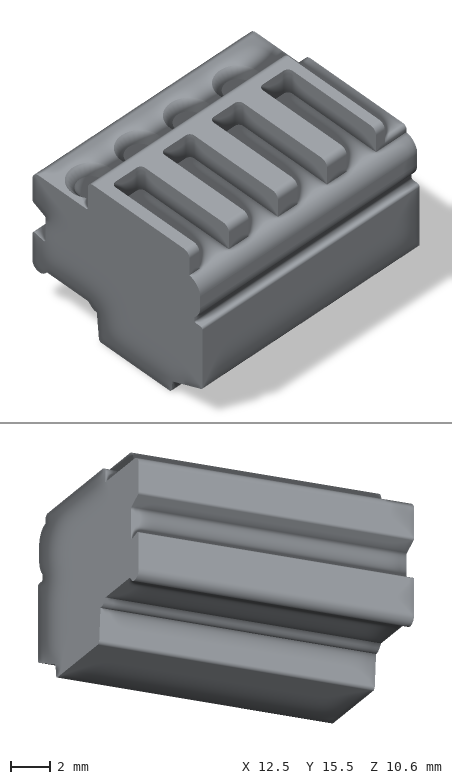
import cadquery as cq

LENGTH = 15.5
WIDTH = 12.5
HEIGHT = 10.6

SHELF_Z = 8.62
BLOCK_LEFT = 4.08
BLOCK_RIGHT = 11.53
SHELF_RADIUS = 0.5
BLOCK_RADIUS = 0.4
STEP_RADIUS = 0.12

BULGE_X = 12.32
BULGE_TOP_Z = 9.0
BULGE_UPPER_RADIUS = 0.96
BULGE_FLAT_TOP_Z = 8.06
BULGE_FLAT_BOTTOM_Z = 7.25
BULGE_LOWER_RADIUS = 1.2
BULGE_BOTTOM_Z = 6.35
NECK_X = 11.92
LEDGE_Z = 5.98
LEDGE_RADIUS = 0.15
NECK_RADIUS = 0.1

SLOPE_TOP_Z = 1.69
SLOPE_BOTTOM = (10.29, 0.78)
BASE_RIGHT = 10.21
BASE_LEFT = 4.9
BASE_RADIUS = 0.19

CHANNEL_Z = 2.26
LIP_Z = 1.9
LIP_RADIUS = 0.5
CHANNEL_LEFT = 1.08
CHANNEL_RIGHT = 4.1
LIP_LEFT_END = 0.73
LIP_RIGHT_START = 4.46
LIP_RIGHT_END = 4.73

NOTCH_DEPTH = 0.98
NOTCH_TOP_OUTER_Z = 6.53
NOTCH_TOP_INNER_Z = 6.05
NOTCH_BOTTOM_INNER_Z = 4.26
NOTCH_BOTTOM_OUTER_Z = 4.48
NOTCH_RADIUS = 0.15

REAR_LENGTH = 1.55
REAR_Z = 9.47
REAR_RIGHT_RADIUS = 0.25

TERMINAL_COUNT = 4
TERMINAL_PITCH = 3.5
OPENING_X = 2.59
OPENING_FIRST_Y = 1.67
OPENING_RADIUS = 1.35
OPENING_FLOOR_RADIUS = 0.85
OPENING_DEPTH = OPENING_RADIUS - OPENING_FLOOR_RADIUS
POCKET_FIRST_Y = 1.77
POCKET_WIDTH = 2.11
POCKET_LEFT = 5.07
POCKET_RADIUS = 0.31


def round_edge(body, x, z, radius):
    """Fillet the Y-direction edge that passes through (x, z)."""
    tolerance = 0.02
    box = cq.selectors.BoxSelector(
        (x - tolerance, 0, z - tolerance),
        (x + tolerance, LENGTH, z + tolerance),
    )
    return body.edges("|Y").edges(box).fillet(radius)


def make_body():
    body = (
        cq.Workplane("XZ")
        .moveTo(0, SHELF_Z)
        .lineTo(BLOCK_LEFT, SHELF_Z)
        .lineTo(BLOCK_LEFT, HEIGHT)
        .lineTo(BLOCK_RIGHT, HEIGHT)
        .lineTo(BLOCK_RIGHT, BULGE_TOP_Z)
        .radiusArc((BULGE_X, BULGE_FLAT_TOP_Z), BULGE_UPPER_RADIUS)
        .lineTo(BULGE_X, BULGE_FLAT_BOTTOM_Z)
        .radiusArc((NECK_X, BULGE_BOTTOM_Z), BULGE_LOWER_RADIUS)
        .lineTo(NECK_X, LEDGE_Z)
        .lineTo(WIDTH, LEDGE_Z)
        .lineTo(WIDTH, SLOPE_TOP_Z)
        .lineTo(*SLOPE_BOTTOM)
        .lineTo(BASE_RIGHT, 0)
        .lineTo(BASE_LEFT, 0)
        .lineTo(LIP_RIGHT_END, LIP_Z)
        .lineTo(LIP_RIGHT_START, LIP_Z)
        .lineTo(CHANNEL_RIGHT, CHANNEL_Z)
        .lineTo(CHANNEL_LEFT, CHANNEL_Z)
        .lineTo(LIP_LEFT_END, LIP_Z)
        .lineTo(0, LIP_Z)
        .lineTo(0, NOTCH_BOTTOM_OUTER_Z)
        .lineTo(NOTCH_DEPTH, NOTCH_BOTTOM_INNER_Z)
        .lineTo(NOTCH_DEPTH, NOTCH_TOP_INNER_Z)
        .lineTo(0, NOTCH_TOP_OUTER_Z)
        .close()
        .extrude(-LENGTH)
    )
    rounded_edges = [
        (0, SHELF_Z, SHELF_RADIUS),
        (NECK_X, LEDGE_Z, NECK_RADIUS),
        (WIDTH, LEDGE_Z, LEDGE_RADIUS),
        (WIDTH, SLOPE_TOP_Z, BASE_RADIUS),
        (BASE_RIGHT, 0, BASE_RADIUS),
        (BASE_LEFT, 0, BASE_RADIUS),
        (LIP_RIGHT_START, LIP_Z, LIP_RADIUS),
        (LIP_LEFT_END, LIP_Z, LIP_RADIUS),
        (0, LIP_Z, LIP_RADIUS),
        (0, NOTCH_BOTTOM_OUTER_Z, NOTCH_RADIUS),
        (NOTCH_DEPTH, NOTCH_BOTTOM_INNER_Z, NOTCH_RADIUS),
        (NOTCH_DEPTH, NOTCH_TOP_INNER_Z, NOTCH_RADIUS),
        (0, NOTCH_TOP_OUTER_Z, NOTCH_RADIUS),
    ]
    for x, z, radius in rounded_edges:
        body = round_edge(body, x, z, radius)
    return body


def lower_rear_end(body):
    cutter = cq.Workplane("XY").box(WIDTH, REAR_LENGTH, HEIGHT - REAR_Z, centered=False)
    return body.cut(cutter.translate((0, LENGTH - REAR_LENGTH, REAR_Z)))


def round_upper_block(body):
    body = round_edge(body, BLOCK_LEFT, HEIGHT, BLOCK_RADIUS)
    body = round_edge(body, BLOCK_RIGHT, HEIGHT, BLOCK_RADIUS)
    body = round_edge(body, BLOCK_LEFT, REAR_Z, BLOCK_RADIUS)
    return round_edge(body, BLOCK_RIGHT, REAR_Z, REAR_RIGHT_RADIUS)


def make_step_fillet():
    """Concave fillet between shelf and block, stopping at the lowered rear end."""
    return (
        cq.Workplane("XZ")
        .moveTo(BLOCK_LEFT, SHELF_Z)
        .lineTo(BLOCK_LEFT, SHELF_Z + STEP_RADIUS)
        .radiusArc((BLOCK_LEFT - STEP_RADIUS, SHELF_Z), STEP_RADIUS)
        .close()
        .extrude(-(LENGTH - REAR_LENGTH))
    )


def make_screw_opening(y):
    return (
        cq.Workplane("XY", origin=(OPENING_X, y, SHELF_Z - OPENING_DEPTH))
        .circle(OPENING_FLOOR_RADIUS)
        .workplane(offset=OPENING_DEPTH)
        .circle(OPENING_RADIUS)
        .loft()
    )


def make_wire_pocket(y):
    """Slot with rounded inner corners, open towards the right wall."""
    return (
        cq.Workplane("XY")
        .box(WIDTH - POCKET_LEFT, POCKET_WIDTH, HEIGHT - BULGE_TOP_Z, centered=(False, True, False))
        .edges("|Z and <X")
        .fillet(POCKET_RADIUS)
        .translate((POCKET_LEFT, y, BULGE_TOP_Z))
    )


result = make_body()
result = lower_rear_end(result)
result = round_upper_block(result)
result = result.union(make_step_fillet())
for index in range(TERMINAL_COUNT):
    offset = index * TERMINAL_PITCH
    result = result.cut(make_screw_opening(OPENING_FIRST_Y + offset))
    result = result.cut(make_wire_pocket(POCKET_FIRST_Y + offset))